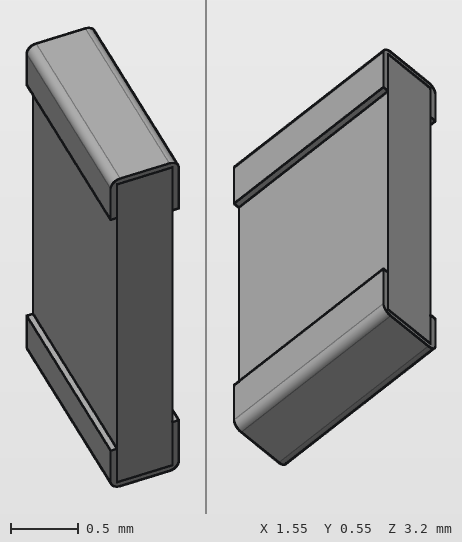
import cadquery as cq

WIDTH = 1.55
DEPTH = 0.55
HEIGHT = 3.2

CAP_THICKNESS = 0.05
CAP_CORNER_RADIUS = 0.077
FRONT_LEG = 0.4
BACK_LEG = 0.5

SUBSTRATE_DEPTH = DEPTH - 2 * CAP_THICKNESS
SUBSTRATE_HEIGHT = HEIGHT - 2 * CAP_THICKNESS


def make_substrate():
    """Plain ceramic block, centred on the origin."""
    return cq.Workplane("XY").box(WIDTH, SUBSTRATE_DEPTH, SUBSTRATE_HEIGHT)


def make_end_cap(end):
    """U-shaped cap on the upper (end = 1) or lower (end = -1) end, with its longer leg on +Y."""
    outer_z = end * HEIGHT / 2
    seat_z = end * SUBSTRATE_HEIGHT / 2
    front_tip_z = end * (HEIGHT / 2 - FRONT_LEG)
    back_tip_z = end * (HEIGHT / 2 - BACK_LEG)
    outer_y = DEPTH / 2
    inner_y = SUBSTRATE_DEPTH / 2

    profile = [
        (-outer_y, front_tip_z),
        (-outer_y, outer_z),
        (outer_y, outer_z),
        (outer_y, back_tip_z),
        (inner_y, back_tip_z),
        (inner_y, seat_z),
        (-inner_y, seat_z),
        (-inner_y, front_tip_z),
    ]
    cap = cq.Workplane("YZ").polyline(profile).close().extrude(WIDTH / 2, both=True)
    outer_face = ">Z" if end > 0 else "<Z"
    return cap.faces(outer_face).edges("|X").fillet(CAP_CORNER_RADIUS)


substrate = make_substrate()
end_caps = [make_end_cap(end) for end in (1, -1)]

result = cq.Compound.makeCompound([substrate.val(), *[cap.val() for cap in end_caps]])